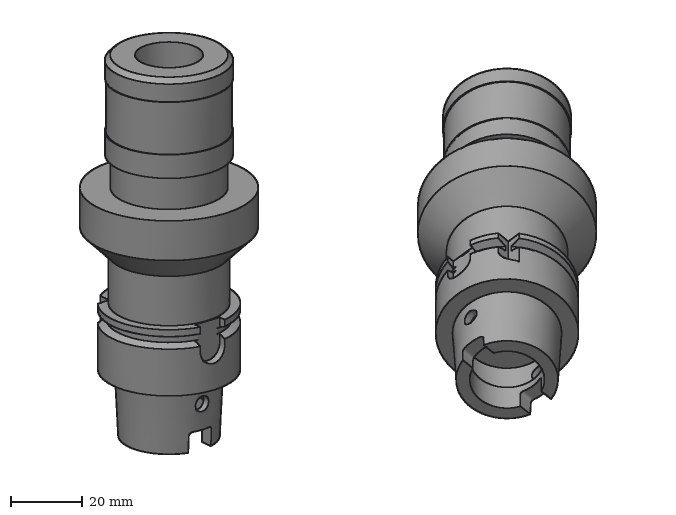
import cadquery as cq

total_height = 115.0
seat_z = 20.0
gripper_top_z = 2 * seat_z
cone_bottom_z = 55.0
collar_bottom_z = 63.0
collar_top_z = 75.0
nut_bottom_z = 85.0
relief_bottom_z = 92.1
relief_top_z = 108.0

collar_radius = 50.0 / 2
nut_radius = 36.0 / 2
relief_depth = 0.29
relief_radius = nut_radius - relief_depth
nut_chamfer = 1.5
upper_neck_radius = 33.0 / 2
lower_neck_radius = 34.0 / 2
gripper_radius = 40.0 / 2
taper_top_radius = 30.6 / 2
taper_ratio = 1 / 10
taper_bottom_radius = taper_top_radius - taper_ratio * seat_z / 2

groove_radius = 17.6
groove_top_z = 38.0
groove_wall_top_z = 36.9
groove_wall_bottom_z = 35.2
groove_bottom_z = 34.2

bore_radius = 19.1 / 2
bore_depth = total_height - collar_top_z

mouth_radius = 10.5
mouth_height = 9.0
chamber_radius = 12.8
chamber_top_z = seat_z

slot_width = 8.7
slot_bottom_z = 28.1
drive_slot_floor = 17.2
notch_floor = 12.0
notch_center_y = -16.2

end_slot_width = 8.0
shallow_slot_height = 3.9
deep_slot_height = 6.2
end_slot_fillet = 1.0
cross_hole_diameter = 4.7
cross_hole_z = 14.3


def turned_body():
    profile = [
        (0, 0),
        (taper_bottom_radius, 0),
        (taper_top_radius, seat_z),
        (gripper_radius, seat_z),
        (gripper_radius, groove_bottom_z),
        (groove_radius, groove_wall_bottom_z),
        (groove_radius, groove_wall_top_z),
        (gripper_radius, groove_top_z),
        (gripper_radius, gripper_top_z),
        (lower_neck_radius, gripper_top_z),
        (lower_neck_radius, cone_bottom_z),
        (collar_radius, collar_bottom_z),
        (collar_radius, collar_top_z),
        (upper_neck_radius, collar_top_z),
        (upper_neck_radius, nut_bottom_z),
        (nut_radius, nut_bottom_z),
        (nut_radius, relief_bottom_z),
        (relief_radius, relief_bottom_z),
        (relief_radius, relief_top_z),
        (nut_radius, relief_top_z),
        (nut_radius, total_height - nut_chamfer),
        (nut_radius - nut_chamfer, total_height),
        (0, total_height),
    ]
    return cq.Workplane("XZ").polyline(profile).close().revolve(360, (0, 0), (0, 1))


def flange_slot(center_y, floor):
    """Cutter for a slot open to -X and to the flange top, with a round lower end."""
    end_radius = slot_width / 2
    straight_height = gripper_top_z - slot_bottom_z - end_radius
    return (
        cq.Workplane("YZ", origin=(-floor, center_y, gripper_top_z))
        .moveTo(-end_radius, 0)
        .lineTo(end_radius, 0)
        .lineTo(end_radius, -straight_height)
        .threePointArc((0, -straight_height - end_radius), (-end_radius, -straight_height))
        .close()
        .extrude(-gripper_radius)
    )


def end_slot(height):
    """Cutter for a slot in the shank end, running from the axis out through the -X side."""
    return (
        cq.Workplane("XY")
        .box(gripper_radius, end_slot_width, height, centered=(False, True, False))
        .translate((-gripper_radius, 0, 0))
        .edges("|X and >Z")
        .fillet(end_slot_fillet)
    )


def to_opposite_side(cutter):
    return cutter.rotate((0, 0, 0), (0, 0, 1), 180)


tool_bore = cq.Workplane("XY", origin=(0, 0, total_height)).circle(bore_radius).extrude(-bore_depth)
shank_mouth = cq.Workplane("XY").circle(mouth_radius).extrude(mouth_height)
shank_chamber = (
    cq.Workplane("XY", origin=(0, 0, mouth_height))
    .circle(chamber_radius)
    .extrude(chamber_top_z - mouth_height)
)
cross_hole = (
    cq.Workplane("YZ", origin=(0, 0, cross_hole_z))
    .circle(cross_hole_diameter / 2)
    .extrude(gripper_radius, both=True)
)
drive_slot = flange_slot(0, drive_slot_floor)

cutters = [
    tool_bore,
    shank_mouth,
    shank_chamber,
    cross_hole,
    drive_slot,
    to_opposite_side(drive_slot),
    flange_slot(notch_center_y, notch_floor),
    end_slot(shallow_slot_height),
    to_opposite_side(end_slot(deep_slot_height)),
]

result = turned_body()
for cutter in cutters:
    result = result.cut(cutter)